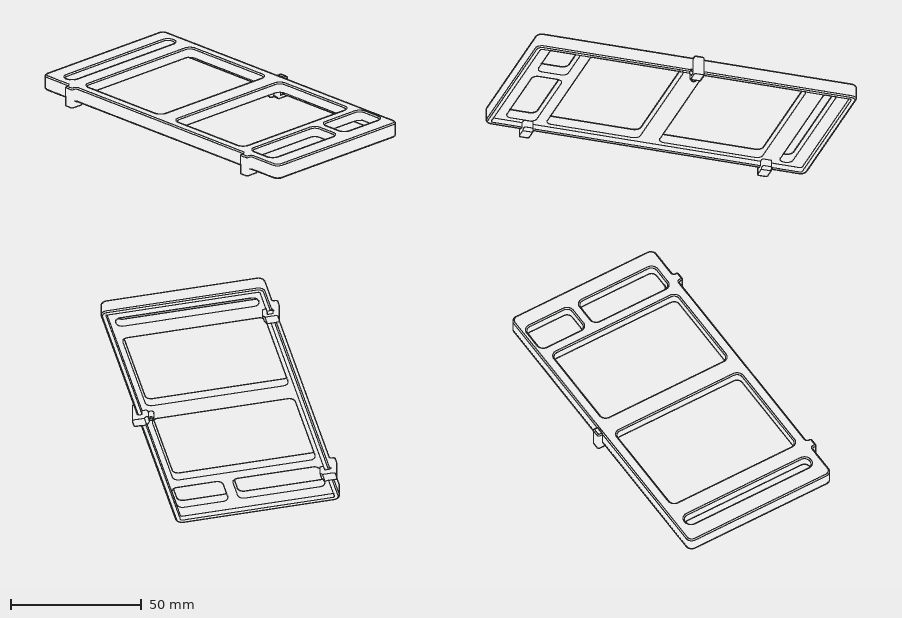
import cadquery as cq

length = 129.0
overall_depth = 68.4
overall_height = 8.0

lug_reach = 2.0
frame_depth = overall_depth - 2 * lug_reach
frame_height = 5.9
frame_corner_radius = 2.6
skirt_height = 1.9
skirt_thickness = 1.9
edge_chamfer = 0.5

end_wall = 7.0
slot_width = 5.0
slot_left = -length / 2 + end_wall
window_back = 28.0
window_front = -window_back
side_window_left = 45.5
side_window_right = length / 2 - end_wall
windows = [
    (slot_left, slot_left + slot_width, window_front, window_back),
    (-45.4, -4.0, window_front, window_back),
    (3.9, 41.3, window_front, window_back),
    (side_window_left, side_window_right, window_front, 6.2),
    (side_window_left, side_window_right, 10.0, 30.0),
]
window_corner_radius = 2.3

clip_width = 4.0
clip_length = 6.0
front_clip_offset = 48.0
lug_corner_radius = 0.8
lug_root_radius = 0.8
foot_drop = overall_height - frame_height
toe_bevel = 1.2
toe_corner_radius = 0.8

gusset_size = 0.9
gusset_overhang = 0.4

pin_diameter = 2.0
pin_drop = 1.3
pin_chamfer = 0.4

frame_front = -frame_depth / 2
skirt_inside = frame_front + skirt_thickness
lug_front = -overall_depth / 2
toe_back = lug_front + clip_length
clip_side = clip_width / 2


def block(left, right, front, back, bottom, top):
    """Box given by its six sides."""
    return (
        cq.Workplane("XY", origin=((left + right) / 2, (front + back) / 2, bottom))
        .rect(right - left, back - front)
        .extrude(top - bottom)
    )


def clip_block(front, back, bottom, top):
    """Box as wide as a clip, centred on X = 0."""
    return block(-clip_side, clip_side, front, back, bottom, top)


def lug(bottom, top):
    """Upright lug reaching from the front end into the front skirt."""
    body = clip_block(lug_front, skirt_inside, bottom, top)
    return body.edges("|Z and <Y").fillet(lug_corner_radius)


def foot():
    """Hooked lower end of a clip, from the lug to a bevelled toe under the plate."""
    under_skirt = clip_block(frame_front, toe_back, -foot_drop, 0)
    under_plate = clip_block(skirt_inside, toe_back, -foot_drop, skirt_height)
    toe = under_skirt.union(under_plate).edges("|Z and >Y").fillet(toe_corner_radius)
    bevel = (
        cq.Workplane("YZ")
        .moveTo(toe_back, -foot_drop)
        .lineTo(toe_back, -foot_drop + toe_bevel)
        .lineTo(toe_back - toe_bevel, -foot_drop)
        .close()
        .extrude(clip_side, both=True)
    )
    return toe.cut(bevel).union(lug(-foot_drop, edge_chamfer))


def gusset():
    """Sloped web on the left side of a foot, filling the skirt's lower chamfer."""
    return (
        cq.Workplane("XZ", origin=(0, skirt_inside, 0))
        .moveTo(-clip_side, edge_chamfer)
        .lineTo(-clip_side - gusset_size, edge_chamfer)
        .lineTo(-clip_side - gusset_size, 0)
        .lineTo(-clip_side, -gusset_size)
        .close()
        .extrude(skirt_thickness + gusset_overhang)
    )


def frame():
    """Skirted plate with its front lugs and windows, chamfered along its rims."""
    body = (
        cq.Workplane("XY")
        .rect(length, frame_depth)
        .extrude(frame_height)
        .edges("|Z")
        .fillet(frame_corner_radius)
    )
    for x in (-front_clip_offset, front_clip_offset):
        body = body.union(lug(0, frame_height).translate((x, 0, 0)))
        for root_x in (x - clip_side, x + clip_side):
            root = (root_x, frame_front, frame_height / 2)
            body = body.edges(cq.NearestToPointSelector(root)).fillet(lug_root_radius)
    body = body.faces("<Z").edges().chamfer(edge_chamfer)
    recess = (
        cq.Workplane("XY")
        .rect(length - 2 * skirt_thickness, frame_depth - 2 * skirt_thickness)
        .extrude(skirt_height)
        .edges("|Z")
        .fillet(frame_corner_radius - skirt_thickness)
    )
    body = body.cut(recess)
    for left, right, front, back in windows:
        opening = block(left, right, front, back, 0, frame_height)
        body = body.cut(opening.edges("|Z").fillet(window_corner_radius))
    return body.faces(">Z").edges().chamfer(edge_chamfer)


def back_clip():
    """Clip on the back side; a groove parts its chamfered top from the plate."""
    chamfered_lug = lug(0, frame_height).faces(">Z").edges("not >Y").chamfer(edge_chamfer)
    upright = chamfered_lug.intersect(clip_block(lug_front, frame_front, 0, frame_height))
    clip = upright.union(foot()).union(gusset())
    return clip.rotate((0, 0, 0), (0, 0, 1), 180)


def pin():
    """Round pin below the plate, touching the toe of the back clip."""
    return (
        cq.Workplane("XY", origin=(0, -toe_back - pin_diameter / 2, skirt_height))
        .circle(pin_diameter / 2)
        .extrude(-skirt_height - pin_drop)
        .faces("<Z")
        .chamfer(pin_chamfer)
    )


left_foot = foot().union(gusset()).translate((-front_clip_offset, 0, 0))
right_foot = foot().translate((front_clip_offset, 0, 0))
result = frame().union(left_foot).union(right_foot).union(back_clip()).union(pin())